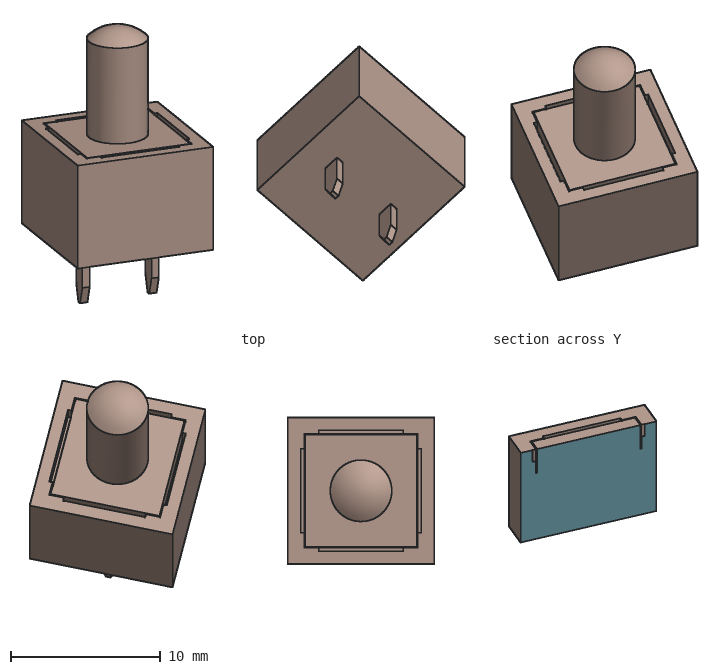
import cadquery as cq

housing_side = 9.8
housing_height = 7.3

well_side = 7.6
well_depth = 1.92
recess_span = 8.06
recess_length = 5.6
recess_depth = 0.96

plunger_gap = 0.08
plunger_side = well_side - 2 * plunger_gap
stem_diameter = 4.1
dome_height = 0.83

pin_length = 4.3
pin_width = 1.11
pin_thickness = 0.54
pin_spacing = 5.0
tip_width = 0.3
tip_length = 1.23

total_height = 19.2
stem_top = total_height - pin_length - dome_height


def make_housing():
    """Block with the well and its four side recesses cut from the top."""
    housing = cq.Workplane("XY").rect(housing_side, housing_side).extrude(housing_height)
    openings = [
        (well_side, well_side, well_depth),
        (recess_span, recess_length, recess_depth),
        (recess_length, recess_span, recess_depth),
    ]
    for size_x, size_y, depth in openings:
        floor = housing_height - depth
        opening = cq.Workplane("XY", origin=(0, 0, floor)).rect(size_x, size_y).extrude(depth)
        housing = housing.cut(opening)
    return housing


def make_plunger():
    """Square base rising from the well floor, with the domed stem on top."""
    floor = housing_height - well_depth
    base = cq.Workplane("XY", origin=(0, 0, floor)).rect(plunger_side, plunger_side).extrude(well_depth)
    stem_radius = stem_diameter / 2
    dome_radius = (stem_radius**2 + dome_height**2) / (2 * dome_height)
    dome_center = stem_top + dome_height - dome_radius
    mid_x = stem_radius / 2
    mid_z = dome_center + (dome_radius**2 - mid_x**2) ** 0.5
    stem = (
        cq.Workplane("XZ")
        .moveTo(0, floor)
        .lineTo(stem_radius, floor)
        .lineTo(stem_radius, stem_top)
        .threePointArc((mid_x, mid_z), (0, stem_top + dome_height))
        .close()
        .revolve(360, (0, 0, 0), (0, 1, 0))
    )
    return base.union(stem)


def make_pin(center_y):
    """Flat pin hanging below the housing, tapered in width at its end."""
    taper_start = tip_length - pin_length
    return (
        cq.Workplane("XZ", origin=(0, center_y, 0))
        .polyline([
            (-pin_width / 2, 0),
            (pin_width / 2, 0),
            (pin_width / 2, taper_start),
            (tip_width / 2, -pin_length),
            (-tip_width / 2, -pin_length),
            (-pin_width / 2, taper_start),
        ])
        .close()
        .extrude(pin_thickness / 2, both=True)
    )


result = make_housing().union(make_plunger())
for side in (-1, 1):
    result = result.union(make_pin(side * pin_spacing / 2))